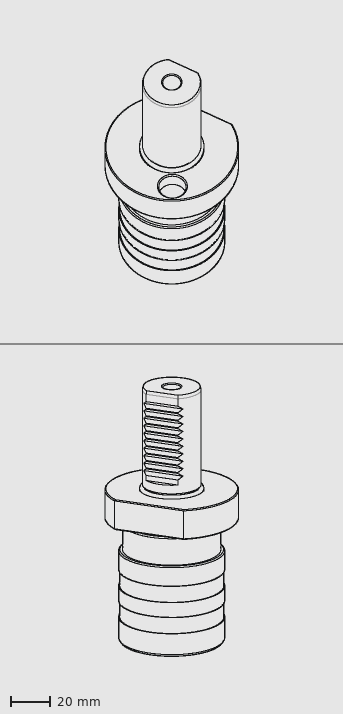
import cadquery as cq
import math


total_length = 136.0
shank_length = 55.0
flange_thickness = 16.0
shank_top_z = shank_length
flange_bottom_z = -flange_thickness
bottom_z = shank_length - total_length

shank_radius = 15.0
shank_lead_in_height = 1.8
shank_lead_in_width = 0.48
shank_flat_y = 12.1
shank_flat_start_z = 7.0
shank_bore_radius = 4.6
shank_bore_depth = 20.4
shank_bore_chamfer = 0.5

tooth_gap_count = 10
tooth_row_length = 36.0
tooth_pitch = tooth_row_length / (tooth_gap_count - 1)
tooth_gap_depth = 1.8
tooth_gap_half_angle = 45.0
first_tooth_gap_z = 11.4

flange_radius = 34.0
flange_flat_y = 28.0
flange_chamfer = 0.5
flange_hole_x = 12.6
flange_hole_y = -21.5
flange_hole_radius = 7.0
flange_hole_depth = 7.6
flange_hole_chamfer = 0.7
flange_hole_tip_angle = 118.0

seal_section_radius = 1.2
seal_center_z = 0.34
seal_inner_radius = 13.9
seal_center_radius = seal_inner_radius + seal_section_radius
seal_seat_radius = 16.5
seal_floor_z = seal_center_z - seal_section_radius
undercut_top_z = 2.3
undercut_depth = shank_radius - seal_inner_radius

neck_radius = 25.0
relief_radius = 24.5
relief_length = 1.5
relief_fillet = 0.4
relief_taper_length = 0.8
screw_hole_z = -19.9
screw_hole_mouth_radius = 2.5
screw_hole_counterbore_radius = 1.6
screw_hole_counterbore_depth = 2.0
screw_hole_radius = 1.0
screw_hole_depth = 6.8

collar_diameter = 54.0
collar_radius = collar_diameter / 2
collar_top_z = bottom_z + 48.5
collar_top_chamfer = 0.7
collar_bottom_chamfer_height = 1.2
collar_bottom_chamfer_width = 0.8
band_depth = 0.5
band_height = 8.7
band_bottoms = [bottom_z + 12.4, bottom_z + 29.1]


def cylinder(radius, start_z, end_z):
    """Cylinder on the Z axis between two heights."""
    return cq.Workplane("XY").workplane(offset=start_z).circle(radius).extrude(end_z - start_z)


def make_flange():
    """Round disc with one flat side and chamfered rims."""
    disc = cylinder(flange_radius, flange_bottom_z, 0)
    beyond_flat = (
        cq.Workplane("XY")
        .workplane(offset=flange_bottom_z)
        .center(0, flange_flat_y + flange_radius / 2)
        .rect(2 * flange_radius, flange_radius)
        .extrude(flange_thickness)
    )
    return disc.cut(beyond_flat).faces("|Z").edges().chamfer(flange_chamfer)


def make_shank():
    """Turned shank with a narrow foot, a toothed flat and a lead-in chamfer all round the top."""
    lead_in_z = shank_top_z - shank_lead_in_height
    shank = (
        cq.Workplane("XZ")
        .moveTo(0, seal_floor_z)
        .lineTo(seal_inner_radius, seal_floor_z)
        .lineTo(seal_inner_radius, undercut_top_z - undercut_depth)
        .lineTo(shank_radius, undercut_top_z)
        .lineTo(shank_radius, lead_in_z)
        .lineTo(shank_radius - shank_lead_in_width, shank_top_z)
        .lineTo(0, shank_top_z)
        .close()
        .revolve(360, (0, 0, 0), (0, 1, 0))
    )
    beyond_flat = (
        cq.Workplane("YZ")
        .moveTo(shank_flat_y, shank_flat_start_z)
        .lineTo(shank_flat_y, lead_in_z)
        .lineTo(shank_flat_y - shank_lead_in_width, shank_top_z)
        .lineTo(shank_radius, shank_top_z)
        .lineTo(shank_radius, shank_flat_start_z)
        .close()
        .extrude(shank_radius, both=True)
    )
    shank = shank.cut(beyond_flat)
    half_width = tooth_gap_depth * math.tan(math.radians(tooth_gap_half_angle))
    for index in range(tooth_gap_count):
        gap_z = first_tooth_gap_z + index * tooth_pitch
        gap = (
            cq.Workplane("YZ")
            .moveTo(shank_flat_y - tooth_gap_depth, gap_z)
            .lineTo(shank_flat_y, gap_z + half_width)
            .lineTo(shank_flat_y, gap_z - half_width)
            .close()
            .extrude(shank_radius, both=True)
        )
        shank = shank.cut(gap)
    return shank


def make_neck_and_collar():
    """Turned lower part: relief under the flange, neck, then the banded collar."""
    relief_end_z = flange_bottom_z - relief_length
    profile = (
        cq.Workplane("XZ")
        .moveTo(0, flange_bottom_z)
        .lineTo(relief_radius + relief_fillet, flange_bottom_z)
        .radiusArc((relief_radius, flange_bottom_z - relief_fillet), -relief_fillet)
        .lineTo(relief_radius, relief_end_z)
        .lineTo(neck_radius, relief_end_z - relief_taper_length)
        .lineTo(neck_radius, collar_top_z)
        .lineTo(collar_radius - collar_top_chamfer, collar_top_z)
        .lineTo(collar_radius, collar_top_z - collar_top_chamfer)
        .lineTo(collar_radius, bottom_z + collar_bottom_chamfer_height)
        .lineTo(collar_radius - collar_bottom_chamfer_width, bottom_z)
        .lineTo(0, bottom_z)
        .close()
    )
    lower_part = profile.revolve(360, (0, 0, 0), (0, 1, 0))
    for band_bottom in band_bottoms:
        band_top = band_bottom + band_height
        outside = cylinder(collar_radius + band_depth, band_bottom, band_top)
        inside = cylinder(collar_radius - band_depth, band_bottom, band_top)
        lower_part = lower_part.cut(outside.cut(inside))
    return lower_part


def make_shank_bore():
    """Blind bore in the end of the shank, with a chamfered mouth."""
    floor_z = shank_top_z - shank_bore_depth
    return (
        cq.Workplane("XZ")
        .moveTo(0, floor_z)
        .lineTo(shank_bore_radius, floor_z)
        .lineTo(shank_bore_radius, shank_top_z - shank_bore_chamfer)
        .lineTo(shank_bore_radius + shank_bore_chamfer, shank_top_z)
        .lineTo(0, shank_top_z)
        .close()
        .revolve(360, (0, 0, 0), (0, 1, 0))
    )


def make_flange_hole():
    """Drilled blind hole in the flange face, with a chamfered mouth and a conical tip."""
    tip_height = flange_hole_radius / math.tan(math.radians(flange_hole_tip_angle / 2))
    hole = (
        cq.Workplane("XZ")
        .moveTo(0, -flange_hole_depth - tip_height)
        .lineTo(flange_hole_radius, -flange_hole_depth)
        .lineTo(flange_hole_radius, -flange_hole_chamfer)
        .lineTo(flange_hole_radius + flange_hole_chamfer, 0)
        .lineTo(0, 0)
        .close()
        .revolve(360, (0, 0, 0), (0, 1, 0))
    )
    return hole.translate((flange_hole_x, flange_hole_y, 0))


def make_screw_hole():
    """Radial counterbored hole in the -Y side of the neck, with a chamfered mouth."""
    mouth_chamfer = screw_hole_mouth_radius - screw_hole_counterbore_radius
    shoulder_y = -neck_radius + screw_hole_counterbore_depth
    floor_y = -neck_radius + screw_hole_depth
    return (
        cq.Workplane("XY")
        .workplane(offset=screw_hole_z)
        .moveTo(0, -neck_radius)
        .lineTo(screw_hole_mouth_radius, -neck_radius)
        .lineTo(screw_hole_counterbore_radius, -neck_radius + mouth_chamfer)
        .lineTo(screw_hole_counterbore_radius, shoulder_y)
        .lineTo(screw_hole_radius, shoulder_y)
        .lineTo(screw_hole_radius, floor_y)
        .lineTo(0, floor_y)
        .close()
        .revolve(360, (0, 0, 0), (0, 1, 0))
    )


def make_holder():
    """Complete one-piece tool holder."""
    seal_seat = cylinder(seal_seat_radius, seal_floor_z, 0)
    body = make_flange().cut(seal_seat).union(make_shank()).union(make_neck_and_collar())
    return body.cut(make_shank_bore()).cut(make_flange_hole()).cut(make_screw_hole())


def make_seal_ring():
    """Round-section ring lying in the seat around the shank."""
    return (
        cq.Workplane("XZ")
        .center(seal_center_radius, seal_center_z)
        .circle(seal_section_radius)
        .revolve(360, (-seal_center_radius, 0, 0), (-seal_center_radius, 1, 0))
    )


holder = make_holder()
seal_ring = make_seal_ring()

result = cq.Compound.makeCompound([holder.val(), seal_ring.val()])